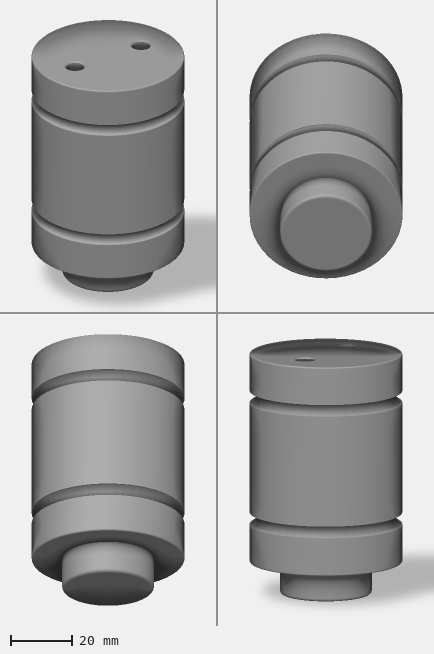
import cadquery as cq
import math

total_height = 80.0
rod_length = 10.5
cylinder_diameter = 50.0
rod_diameter = 30.0

cylinder_edge_radius = 0.5
rod_edge_radius = 1.0

groove_radius = 2.0
groove_end_distance = 14.5

hole_diameter = 6.0
hole_chamfer = 0.5
hole_spacing = 26.0
hole_depth = 12.0
hole_tip_angle = 118.0

cylinder_radius = cylinder_diameter / 2
cylinder_length = total_height - rod_length
groove_heights = (rod_length + groove_end_distance, total_height - groove_end_distance)
hole_radius = hole_diameter / 2
hole_tip_length = hole_radius / math.tan(math.radians(hole_tip_angle / 2))
hole_positions = (-hole_spacing / 2, hole_spacing / 2)


def make_groove_cutter(height):
    """Ring of round section centred on the cylinder wall."""
    return cq.Workplane(
        cq.Solid.makeTorus(cylinder_radius, groove_radius, cq.Vector(0, 0, height))
    )


def make_hole_cutter(y):
    """Drill shape with a chamfered mouth and a conical tip."""
    return (
        cq.Workplane("XZ", origin=(0, y, total_height))
        .moveTo(0, 0)
        .lineTo(hole_radius + hole_chamfer, 0)
        .lineTo(hole_radius, -hole_chamfer)
        .lineTo(hole_radius, -hole_depth)
        .lineTo(0, -hole_depth - hole_tip_length)
        .close()
        .revolve(360, (0, 0), (0, 1))
    )


def make_cylinder():
    """Round housing with two wall grooves and two holes in its top face."""
    body = (
        cq.Workplane("XY", origin=(0, 0, rod_length))
        .circle(cylinder_radius)
        .extrude(cylinder_length)
        .faces("<Z or >Z")
        .edges()
        .fillet(cylinder_edge_radius)
    )
    for height in groove_heights:
        body = body.cut(make_groove_cutter(height))
    for y in hole_positions:
        body = body.cut(make_hole_cutter(y))
    return body


def make_rod():
    """Short rod that meets the flat bottom face of the cylinder."""
    return (
        cq.Workplane("XY")
        .circle(rod_diameter / 2)
        .extrude(rod_length)
        .faces("<Z")
        .edges()
        .fillet(rod_edge_radius)
    )


cylinder = make_cylinder()
rod = make_rod()

result = cq.Compound.makeCompound([cylinder.solids().val(), rod.solids().val()])